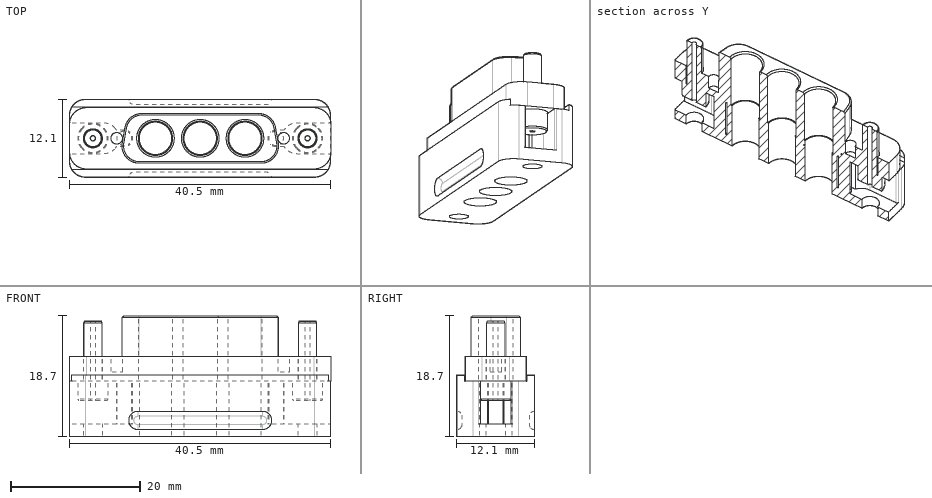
import cadquery as cq
import math

body_x_min = -20.25
body_x_max = 20.17
body_width = 12.07
body_height = 9.5
body_corner_radius = 2.5
channel_width = 9.65
channel_floor = 8.6

flange_length = 40.5
flange_width = 9.48
flange_corner_radius = 2.65
flange_top = 12.45

shroud_top = 18.68
shroud_width = 7.7
shroud_corner_radius = 2.67
shroud_flat_half = 9.45
shroud_side_angle = 10.0
edge_chamfer = 0.25

bore_count = 3
bore_pitch = 6.93
upper_bore_diameter = 5.3
lower_bore_diameter = 5.02
bore_mouth_diameter = 5.85

screw_x = 16.6
screw_diameter = 2.85
screw_top = 17.85
screw_hole_diameter = 0.75
screw_clearance_diameter = 2.95
collar_diameter = 4.65
collar_bottom = 5.6
screw_chamfer_radial = 0.12
screw_chamfer_axial = 0.25

pocket_width = 4.8
pocket_floor = 1.95
pocket_arc_x = 15.0
pocket_mouth_radius = 0.25

post_x = 11.75
post_diameter = 2.25
post_slot_width = 2.55

flange_hole_x = 12.92
flange_hole_diameter = 1.8
flange_hole_depth = 2.45

groove_straight = 19.3
groove_height = 2.85
groove_z = 2.5
groove_depth = 0.8
groove_floor_radius = 0.75

end_signs = (-1, 1)


def cylinder(x, diameter, bottom, top):
    """Upright cylinder on the mid plane of the part."""
    return cq.Workplane("XY", origin=(x, 0, bottom)).circle(diameter / 2).extrude(top - bottom)


def make_body():
    center_x = (body_x_min + body_x_max) / 2
    block = (
        cq.Workplane("XY", origin=(center_x, 0, 0))
        .rect(body_x_max - body_x_min, body_width)
        .extrude(body_height)
        .edges("|Z")
        .fillet(body_corner_radius)
    )
    channel = (
        cq.Workplane("XY", origin=(0, 0, channel_floor))
        .rect(2 * flange_length, channel_width)
        .extrude(body_height - channel_floor)
    )
    return block.cut(channel)


def make_screw_pocket(sign, end_x):
    """Round-ended pocket, flared at its mouth, with a narrower slot around the post."""
    half = pocket_width / 2
    flare = pocket_mouth_radius
    arc_shift = flare * (1 - math.sqrt(0.5))
    pocket = (
        cq.Workplane("XY", origin=(0, 0, pocket_floor))
        .moveTo(end_x, -half - flare)
        .threePointArc((end_x - sign * arc_shift, -half - arc_shift), (end_x - sign * flare, -half))
        .lineTo(sign * pocket_arc_x, -half)
        .threePointArc((sign * (pocket_arc_x - half), 0), (sign * pocket_arc_x, half))
        .lineTo(end_x - sign * flare, half)
        .threePointArc((end_x - sign * arc_shift, half + arc_shift), (end_x, half + flare))
        .close()
        .extrude(channel_floor - pocket_floor)
    )
    slot = (
        cq.Workplane("XY", origin=(sign * (pocket_arc_x + post_x) / 2, 0, pocket_floor))
        .slot2D(pocket_arc_x - post_x + post_slot_width, post_slot_width)
        .extrude(channel_floor - pocket_floor)
    )
    floor_hole = cylinder(sign * screw_x, screw_clearance_diameter, 0, pocket_floor)
    return pocket.union(slot).union(floor_hole)


def make_grip_groove(sign):
    """Slot-shaped groove whose floor rounds up into its sides."""
    blank = (
        cq.Workplane("XZ", origin=(0, -body_width / 2, groove_z))
        .slot2D(groove_straight + groove_height, groove_height)
        .extrude(-groove_depth)
        .faces(">Y")
        .edges()
        .fillet(groove_floor_radius)
    )
    return blank if sign < 0 else blank.mirror("XZ")


def make_flange():
    plate = (
        cq.Workplane("XY", origin=(0, 0, channel_floor))
        .rect(flange_length, flange_width)
        .extrude(flange_top - channel_floor)
        .edges("|Z")
        .fillet(flange_corner_radius)
    )
    flange_hole_bottom = flange_top - flange_hole_depth
    for sign in end_signs:
        plate = plate.cut(cylinder(sign * screw_x, screw_clearance_diameter, channel_floor, flange_top))
        plate = plate.cut(cylinder(sign * flange_hole_x, flange_hole_diameter, flange_hole_bottom, flange_top))
    return plate


def make_shroud():
    half = shroud_width / 2
    side_angle = math.radians(shroud_side_angle)
    corner_angle = math.pi / 2 - side_angle
    wide_half = shroud_flat_half + shroud_corner_radius / math.tan(corner_angle / 2)
    narrow_half = wide_half - shroud_width * math.tan(side_angle)
    return (
        cq.Workplane("XY", origin=(0, 0, flange_top))
        .polyline([(-wide_half, -half), (wide_half, -half), (narrow_half, half), (-narrow_half, half)])
        .close()
        .extrude(shroud_top - flange_top)
        .edges("|Z")
        .fillet(shroud_corner_radius)
        .faces(">Z")
        .edges()
        .chamfer(edge_chamfer)
    )


def make_contact_bore(x):
    """Stepped bore with a chamfered mouth."""
    upper_radius = upper_bore_diameter / 2
    mouth_radius = bore_mouth_diameter / 2
    mouth_depth = mouth_radius - upper_radius
    lower = cylinder(x, lower_bore_diameter, 0, channel_floor)
    upper = cylinder(x, upper_bore_diameter, channel_floor, shroud_top)
    mouth = cq.Workplane(
        cq.Solid.makeCone(
            upper_radius,
            mouth_radius,
            mouth_depth,
            pnt=cq.Vector(x, 0, shroud_top - mouth_depth),
        )
    )
    return lower.union(upper).union(mouth)


def make_jack_screw(x):
    """Drilled screw standing on a collar below the flange."""
    collar_radius = collar_diameter / 2
    screw_radius = screw_diameter / 2
    hole_radius = screw_hole_diameter / 2
    return (
        cq.Workplane("XZ")
        .moveTo(hole_radius, collar_bottom)
        .lineTo(collar_radius - screw_chamfer_radial, collar_bottom)
        .lineTo(collar_radius, collar_bottom + screw_chamfer_axial)
        .lineTo(collar_radius, channel_floor)
        .lineTo(screw_radius, channel_floor)
        .lineTo(screw_radius, screw_top - screw_chamfer_axial)
        .lineTo(screw_radius - screw_chamfer_radial, screw_top)
        .lineTo(hole_radius, screw_top)
        .close()
        .revolve(360, (0, 0, 0), (0, 1, 0))
        .translate((x, 0, 0))
    )


body = make_body()
for sign, end_x in zip(end_signs, (body_x_min, body_x_max)):
    body = body.cut(make_screw_pocket(sign, end_x))
    body = body.cut(make_grip_groove(sign))

result = body.union(make_flange()).union(make_shroud())
for sign in end_signs:
    result = result.union(cylinder(sign * post_x, post_diameter, pocket_floor, channel_floor))
    result = result.union(make_jack_screw(sign * screw_x))
for index in range(bore_count):
    result = result.cut(make_contact_bore((index - (bore_count - 1) / 2) * bore_pitch))